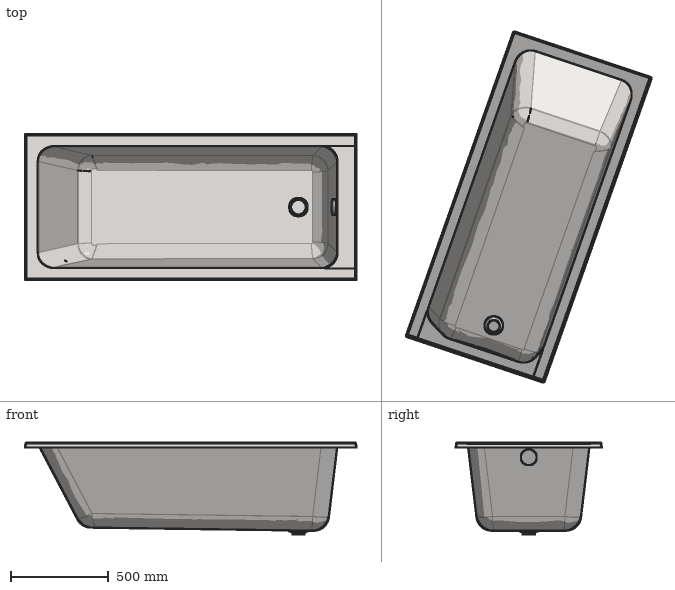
import cadquery as cq
import math


length = 1700
width = 750
rim_height = 25
rim_draft = 4
rim_corner_radius = 8
rim_edge_radius = 6
sheet = 5

head_x = -787
foot_x = 754
side_y = 314
head_slope = 0.526
wall_slope = 0.12
corner_radius = 84
bottom_radius = 83
opening_radius = 8
wall_depth = 500

floor_head_x = -512
floor_head_z = -436
floor_foot_x = 630
floor_foot_z = -452
floor_slope = (floor_foot_z - floor_head_z) / (floor_foot_x - floor_head_x)

deck_drop = 2
deck_start_x = 690
deck_half_width = 314

waste_x = 552
waste_flange_radius = 47.5
waste_tail_radius = 31
waste_bottom_z = -470.98
waste_tail_top_z = -461
waste_flange_bottom_z = -454
waste_flange_rise = 3
plug_radius = 38
plug_groove_width = 4
plug_groove_depth = 2

overflow_depth = 75
overflow_radius = 41
overflow_thickness = 14
overflow_edge_radius = 5


def floor_z(x):
    """Height of the floor's underside at a place along the tub."""
    return floor_head_z + floor_slope * (x - floor_head_x)


def basin_block(inset):
    """Basin solid with its walls and floor moved inwards by `inset`."""
    head_shift = inset * math.hypot(1, head_slope)
    wall_shift = inset * math.hypot(1, wall_slope)

    def section(depth):
        x_min = head_x + head_shift + head_slope * depth
        x_max = foot_x - wall_shift - wall_slope * depth
        y_max = side_y - wall_shift - wall_slope * depth
        return x_min, x_max, y_max

    top_min, top_max, top_y = section(0)
    low_min, low_max, low_y = section(wall_depth)
    wedge = (
        cq.Workplane("XY")
        .center((top_min + top_max) / 2, 0)
        .rect(top_max - top_min, 2 * top_y)
        .workplane(offset=-wall_depth)
        .center((low_min + low_max - top_min - top_max) / 2, 0)
        .rect(low_max - low_min, 2 * low_y)
        .loft(ruled=True)
        .edges("not #Z")
        .fillet(corner_radius - inset)
    )
    half = length / 2
    above_floor = (
        cq.Workplane("XZ")
        .polyline([
            (-half, 0),
            (half, 0),
            (half, floor_z(half) + inset),
            (-half, floor_z(-half) + inset),
        ])
        .close()
        .extrude(width / 2, both=True)
    )
    block = wedge.intersect(above_floor)
    return block.faces("<Z").edges().fillet(bottom_radius - inset)


def rim_block(inset):
    """Rim solid with drafted edges, moved inwards and down by `inset`."""
    taper = math.degrees(math.atan(rim_draft / rim_height))
    return (
        cq.Workplane("XY", origin=(0, 0, -rim_height))
        .rect(length - 2 * inset, width - 2 * inset)
        .extrude(rim_height - inset, taper=taper)
        .edges("not #Z")
        .fillet(rim_corner_radius - inset)
    )


def deck_recess(inset):
    """Space above the tap deck, moved down by `inset`; it runs out through the foot end."""
    return cq.Workplane("XY", origin=(deck_start_x, 0, -deck_drop - inset)).box(
        length / 2 - deck_start_x,
        2 * deck_half_width,
        deck_drop + inset,
        centered=(False, True, False),
    )


def make_tub():
    rim_top = rim_block(0).faces(">Z").edges().fillet(rim_edge_radius)
    rim_underside = rim_block(sheet).cut(deck_recess(sheet))
    tub = rim_top.cut(rim_underside).union(basin_block(0)).cut(basin_block(sheet))
    opening = cq.selectors.BoxSelector((head_x, -side_y, -sheet / 2), (foot_x, side_y, sheet / 2))
    return tub.edges(opening).fillet(opening_radius).cut(deck_recess(0))


def make_waste():
    top_z = floor_z(waste_x) + sheet + waste_flange_rise
    body = (
        cq.Workplane("XZ")
        .polyline([
            (0, waste_bottom_z),
            (waste_tail_radius, waste_bottom_z),
            (waste_tail_radius, waste_tail_top_z),
            (waste_flange_radius, waste_flange_bottom_z),
            (waste_flange_radius, top_z),
            (0, top_z),
        ])
        .close()
        .revolve(360, (0, 0), (0, 1))
        .translate((waste_x, 0, 0))
    )
    groove = (
        cq.Workplane("XY", origin=(waste_x, 0, top_z - plug_groove_depth))
        .circle(plug_radius + plug_groove_width)
        .circle(plug_radius)
        .extrude(plug_groove_depth)
    )
    return body.cut(groove)


def make_overflow():
    wall_x = foot_x - sheet * math.hypot(1, wall_slope) - wall_slope * overflow_depth
    on_wall = cq.Plane(
        origin=(wall_x, 0, -overflow_depth),
        xDir=(0, 1, 0),
        normal=(-1, 0, wall_slope),
    )
    return (
        cq.Workplane(on_wall)
        .circle(overflow_radius)
        .extrude(overflow_thickness)
        .faces("<X")
        .edges()
        .fillet(overflow_edge_radius)
    )


waste = make_waste()
overflow = make_overflow()
tub = make_tub().cut(waste)

result = cq.Compound.makeCompound([tub.val(), waste.val(), overflow.val()])